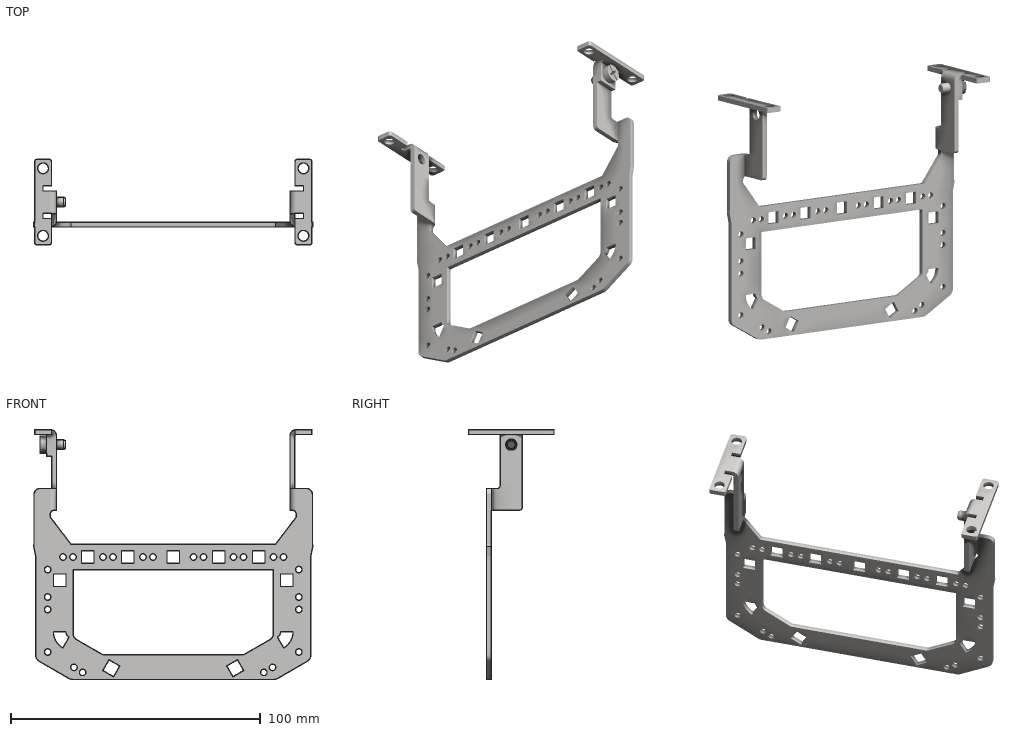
import cadquery as cq
import math


SHEET = 2.0
BEND_INNER = 0.5
BEND_OUTER = BEND_INNER + SHEET

HEIGHT = 100.0
HALF_WIDTH = 55.9

PLATE_FRONT_Y = -10.0
PLATE_BACK_Y = PLATE_FRONT_Y + SHEET
EAR_HALF_WIDTH = 55.75
BODY_HALF_WIDTH = 55.1
EAR_TOP_Z = 76.5
EAR_CORNER_R = 2.5
SHOULDER_TOP_Z = 54.15
SHOULDER_Z = 53.3
SHOULDER_END_Z = 49.4
BOTTOM_HALF_WIDTH = 41.1
LOWER_SLOPE = math.tan(math.radians(30))
LOWER_CORNER_R = 3.0
RAIL_TOP_Z = 54.15
RAIL_HALF_WIDTH = 40.9
GUSSET_TOP_Z = 65.0

WINDOW_HALF_WIDTH = 40.0
WINDOW_FLOOR_HALF_WIDTH = 28.2
WINDOW_FLOOR_Z = 9.95
WINDOW_TOP_Z = 43.85
WINDOW_CORNER_R = 2.5

SMALL_HOLE_D = 2.5
SQUARE = 4.9
HOLE_ROW_Z = 49.0
ROW_PITCH = 16.0
ROW_SQUARE_X = 18.2
PAIR_GAP = 4.0
PAIR_X = 10.1
PAIRS_PER_SIDE = 3
EDGE_HOLE_X = 50.25
EDGE_HOLE_Z = (44.0, 33.0, 28.0, 11.0)
FAN_CENTER = (40.5, 19.1)
FAN_INNER_R = 2.5
FAN_OUTER_R = FAN_INNER_R + SQUARE
FAN_ANGLE = 60
SIDE_SQUARE_X = FAN_CENTER[0] + (FAN_INNER_R + FAN_OUTER_R) / 2
SIDE_SQUARE_Z = 39.7
TILT = 30
TILTED_SQUARE = (24.8, 4.5)
TILTED_PAIR = (38.0, 3.85)

FLANGE_INNER_X = 46.7
FLANGE_OUTER_X = FLANGE_INNER_X + SHEET
BEND_X = FLANGE_INNER_X + BEND_OUTER
FLANGE_HALF_DEPTH = 4.5
FLANGE_BOTTOM_Z = 67.7
FLANGE_CORNER_R = 1.3
FLANGE_NOTCH_R = 1.0
FLANGE_HOLE_D = 4.5
RELIEF_R = 1.6

BAR_LENGTH = 34.3
BAR_WIDTH = 6.8
BAR_X = FLANGE_OUTER_X + BAR_WIDTH / 2
BAR_CORNER_R = 1.0
BAR_HOLE_D = 4.2
BAR_HOLE_Y = 13.5
NOTCH_WIDTH = 2.0

SCREW_Z = 94.0
BLOCK_THICKNESS = 2.0
BLOCK_BOTTOM_Z = 89.3
HEAD_D = 7.0
HEAD_HEIGHT = 2.7
SHANK_D = 4.0
SHANK_REACH = 3.6
TIP_LENGTH = 0.75
TIP_D = 3.1
SLOT_WIDTH = 0.9
SLOT_DEPTH = 1.3
SLOT_ANGLE = 45
CROSS_LENGTH = 4.4
CROSS_CORE = 1.6
CROSS_DEPTH = 1.8


def box(x_range, y_range, z_range):
    """Axis-aligned box between the given (low, high) pairs."""
    sizes = [high - low for low, high in (x_range, y_range, z_range)]
    corner = (x_range[0], y_range[0], z_range[0])
    return cq.Workplane("XY").box(*sizes, centered=False).translate(corner)


def plate_plane():
    """Sketch plane on the back of the face plate: local x = X, local y = Z, extruding forward."""
    return cq.Workplane("XZ", origin=(0, PLATE_BACK_Y, 0))


def plate_half():
    """The +X half of the face plate blank with its half of the window."""
    lower_corner_z = (BODY_HALF_WIDTH - BOTTOM_HALF_WIDTH) * LOWER_SLOPE
    blank = (
        plate_plane()
        .moveTo(0, 0)
        .lineTo(BOTTOM_HALF_WIDTH, 0)
        .lineTo(BODY_HALF_WIDTH, lower_corner_z)
        .lineTo(BODY_HALF_WIDTH, SHOULDER_END_Z)
        .lineTo(HALF_WIDTH, SHOULDER_Z)
        .lineTo(EAR_HALF_WIDTH, SHOULDER_TOP_Z)
        .lineTo(EAR_HALF_WIDTH, EAR_TOP_Z)
        .lineTo(BEND_X, EAR_TOP_Z)
        .lineTo(BEND_X, GUSSET_TOP_Z)
        .lineTo(RAIL_HALF_WIDTH, RAIL_TOP_Z)
        .lineTo(0, RAIL_TOP_Z)
        .close()
        .extrude(SHEET)
    )
    ear_corner = cq.selectors.NearestToPointSelector((EAR_HALF_WIDTH, PLATE_FRONT_Y, EAR_TOP_Z))
    blank = blank.edges("|Y").edges(ear_corner).fillet(EAR_CORNER_R)
    for x, z in ((BODY_HALF_WIDTH, lower_corner_z), (BOTTOM_HALF_WIDTH, 0)):
        lower_corner = cq.selectors.NearestToPointSelector((x, PLATE_FRONT_Y, z))
        blank = blank.edges("|Y").edges(lower_corner).fillet(LOWER_CORNER_R)

    window_corner_z = WINDOW_FLOOR_Z + (WINDOW_HALF_WIDTH - WINDOW_FLOOR_HALF_WIDTH) * LOWER_SLOPE
    window = (
        plate_plane()
        .moveTo(0, WINDOW_FLOOR_Z)
        .lineTo(WINDOW_FLOOR_HALF_WIDTH, WINDOW_FLOOR_Z)
        .lineTo(WINDOW_HALF_WIDTH, window_corner_z)
        .lineTo(WINDOW_HALF_WIDTH, WINDOW_TOP_Z)
        .lineTo(0, WINDOW_TOP_Z)
        .close()
        .extrude(SHEET)
    )
    for x, z in ((WINDOW_HALF_WIDTH, window_corner_z), (WINDOW_FLOOR_HALF_WIDTH, WINDOW_FLOOR_Z)):
        window_corner = cq.selectors.NearestToPointSelector((x, PLATE_FRONT_Y, z))
        window = window.edges("|Y").edges(window_corner).fillet(WINDOW_CORNER_R)
    return blank.cut(window)


def small_holes():
    """Round holes of the +X half: pairs in the top rail, the side column and one tilted pair."""
    points = [(EDGE_HOLE_X, z) for z in EDGE_HOLE_Z]
    for i in range(PAIRS_PER_SIDE):
        middle = PAIR_X + i * ROW_PITCH
        points += [(middle - PAIR_GAP / 2, HOLE_ROW_Z), (middle + PAIR_GAP / 2, HOLE_ROW_Z)]
    for side in (-1, 1):
        reach = side * PAIR_GAP / 2
        x = TILTED_PAIR[0] + reach * math.cos(math.radians(TILT))
        z = TILTED_PAIR[1] + reach * math.sin(math.radians(TILT))
        points.append((x, z))
    return plate_plane().pushPoints(points).circle(SMALL_HOLE_D / 2).extrude(SHEET)


def square_holes():
    """Square holes of the +X half, with the middle one of the top rail."""
    row = [(i * ROW_PITCH + ROW_SQUARE_X, HOLE_ROW_Z) for i in range(PAIRS_PER_SIDE - 1)]
    upright = [(0, HOLE_ROW_Z), (SIDE_SQUARE_X, SIDE_SQUARE_Z)] + row
    holes = plate_plane().pushPoints(upright).rect(SQUARE, SQUARE).extrude(SHEET)
    tilted = (
        plate_plane()
        .center(*TILTED_SQUARE)
        .transformed(rotate=(0, 0, TILT))
        .rect(SQUARE, SQUARE)
        .extrude(SHEET)
    )
    return holes.union(tilted)


def fan_hole():
    """Ring-sector hole swept from the horizontal down by FAN_ANGLE about FAN_CENTER."""

    def at(radius, angle):
        turn = math.radians(angle)
        return FAN_CENTER[0] + radius * math.cos(turn), FAN_CENTER[1] - radius * math.sin(turn)

    return (
        plate_plane()
        .moveTo(*at(FAN_INNER_R, 0))
        .lineTo(*at(FAN_OUTER_R, 0))
        .threePointArc(at(FAN_OUTER_R, FAN_ANGLE / 2), at(FAN_OUTER_R, FAN_ANGLE))
        .lineTo(*at(FAN_INNER_R, FAN_ANGLE))
        .threePointArc(at(FAN_INNER_R, FAN_ANGLE / 2), at(FAN_INNER_R, 0))
        .close()
        .extrude(SHEET)
    )


def flange():
    """L-shaped upright wall with the screw hole."""
    bar_underside = HEIGHT - BEND_OUTER
    bend_end_y = PLATE_BACK_Y + BEND_INNER
    wall = (
        cq.Workplane("YZ", origin=(FLANGE_INNER_X, 0, 0))
        .moveTo(bend_end_y, FLANGE_BOTTOM_Z)
        .lineTo(FLANGE_HALF_DEPTH, FLANGE_BOTTOM_Z)
        .lineTo(FLANGE_HALF_DEPTH, bar_underside)
        .lineTo(-FLANGE_HALF_DEPTH, bar_underside)
        .lineTo(-FLANGE_HALF_DEPTH, EAR_TOP_Z)
        .lineTo(bend_end_y, EAR_TOP_Z)
        .close()
        .extrude(SHEET)
    )
    low_corner = cq.selectors.NearestToPointSelector((FLANGE_OUTER_X, FLANGE_HALF_DEPTH, FLANGE_BOTTOM_Z))
    step_corner = cq.selectors.NearestToPointSelector((FLANGE_OUTER_X, -FLANGE_HALF_DEPTH, EAR_TOP_Z))
    wall = wall.edges("|X").edges(low_corner).fillet(FLANGE_CORNER_R)
    wall = wall.edges("|X").edges(step_corner).fillet(FLANGE_NOTCH_R)
    hole = (
        cq.Workplane("YZ", origin=(FLANGE_INNER_X, 0, 0))
        .center(0, SCREW_Z)
        .circle(FLANGE_HOLE_D / 2)
        .extrude(SHEET)
    )
    return wall.cut(hole)


def quarter_tube(plane, center, v_side, length):
    """Quarter bend about `center`, spanning toward -x and toward v_side on the sketch plane."""

    def at(radius, angle):
        turn = math.radians(angle)
        return center[0] - radius * math.cos(turn), center[1] + v_side * radius * math.sin(turn)

    return (
        plane.moveTo(*at(BEND_INNER, 0))
        .lineTo(*at(BEND_OUTER, 0))
        .threePointArc(at(BEND_OUTER, 45), at(BEND_OUTER, 90))
        .lineTo(*at(BEND_INNER, 90))
        .threePointArc(at(BEND_INNER, 45), at(BEND_INNER, 0))
        .close()
        .extrude(length)
    )


def plate_bend():
    """Bend from the face plate back into the flange, its lower edge blended into the plate."""
    low_z = FLANGE_BOTTOM_Z - RELIEF_R
    plane = cq.Workplane("XY", origin=(0, 0, low_z))
    bend = quarter_tube(plane, (BEND_X, PLATE_BACK_Y + BEND_INNER), -1, EAR_TOP_Z - low_z)
    arc_mid = RELIEF_R * (1 - math.sqrt(0.5))
    relief = (
        plate_plane()
        .moveTo(BEND_X, low_z)
        .threePointArc((BEND_X - arc_mid, FLANGE_BOTTOM_Z - arc_mid), (BEND_X - RELIEF_R, FLANGE_BOTTOM_Z))
        .lineTo(FLANGE_INNER_X, FLANGE_BOTTOM_Z)
        .lineTo(FLANGE_INNER_X, low_z)
        .close()
        .extrude(BEND_OUTER, both=True)
    )
    behind_plate = box(
        (FLANGE_INNER_X, BEND_X),
        (PLATE_BACK_Y, PLATE_BACK_Y + BEND_INNER),
        (low_z, FLANGE_BOTTOM_Z),
    )
    return bend.cut(relief).cut(behind_plate)


def bar_bend():
    """Bend from the flange outward into the mounting bar."""
    plane = cq.Workplane("XZ", origin=(0, FLANGE_HALF_DEPTH, 0))
    return quarter_tube(plane, (BEND_X, HEIGHT - BEND_OUTER), 1, 2 * FLANGE_HALF_DEPTH)


def mounting_bar():
    """Flat bar with two screw holes, notched on both sides of the bend."""
    bar = (
        cq.Workplane("XY", origin=(BAR_X, 0, HEIGHT - SHEET))
        .rect(BAR_WIDTH, BAR_LENGTH)
        .extrude(SHEET)
        .edges("|Z")
        .fillet(BAR_CORNER_R)
    )
    bar_edge = (FLANGE_OUTER_X, BEND_X)
    thickness = (HEIGHT - SHEET, HEIGHT)
    bar = bar.cut(box(bar_edge, (-FLANGE_HALF_DEPTH, FLANGE_HALF_DEPTH), thickness))
    for side in (-1, 1):
        near_y = side * FLANGE_HALF_DEPTH
        far_y = side * (FLANGE_HALF_DEPTH + NOTCH_WIDTH)
        notch = box((FLANGE_OUTER_X, BAR_X), sorted((near_y, far_y)), thickness)
        bar = bar.cut(notch)
    holes = (
        cq.Workplane("XY", origin=(BAR_X, 0, HEIGHT - SHEET))
        .pushPoints([(0, -BAR_HOLE_Y), (0, BAR_HOLE_Y)])
        .circle(BAR_HOLE_D / 2)
        .extrude(SHEET)
    )
    return bar.cut(holes)


def screw():
    """Screw through the -X flange, pointing to +X, with its backing block."""
    flange_face_x = -FLANGE_OUTER_X
    block_face_x = flange_face_x - BLOCK_THICKNESS
    head_face_x = block_face_x - HEAD_HEIGHT
    block = box(
        (block_face_x, flange_face_x),
        (-FLANGE_HALF_DEPTH, FLANGE_HALF_DEPTH),
        (BLOCK_BOTTOM_Z, HEIGHT - SHEET),
    )
    head = cq.Workplane("YZ", origin=(head_face_x, 0, SCREW_Z)).circle(HEAD_D / 2).extrude(HEAD_HEIGHT)
    neck = cq.Workplane("YZ", origin=(flange_face_x, 0, SCREW_Z)).circle(FLANGE_HOLE_D / 2).extrude(SHEET)
    shank = (
        cq.Workplane("YZ", origin=(-FLANGE_INNER_X, 0, SCREW_Z))
        .circle(SHANK_D / 2)
        .extrude(SHANK_REACH)
        .faces(">X")
        .chamfer(TIP_LENGTH, (SHANK_D - TIP_D) / 2)
    )
    face = cq.Workplane("YZ", origin=(head_face_x, 0, SCREW_Z))
    turned = face.transformed(rotate=(0, 0, SLOT_ANGLE))
    slot = turned.rect(HEAD_D, SLOT_WIDTH).extrude(SLOT_DEPTH)
    cross = turned.rect(SLOT_WIDTH, CROSS_LENGTH).extrude(SLOT_DEPTH)
    core = face.rect(CROSS_CORE, CROSS_CORE).extrude(CROSS_DEPTH)
    head = head.cut(slot).cut(cross).cut(core)
    return block.union(head).union(neck).union(shank)


half = plate_half()
for opening in (small_holes(), square_holes(), fan_hole()):
    half = half.cut(opening)
for portion in (plate_bend(), flange(), bar_bend(), mounting_bar()):
    half = half.union(portion)

result = half.union(half.mirror("YZ")).union(screw())